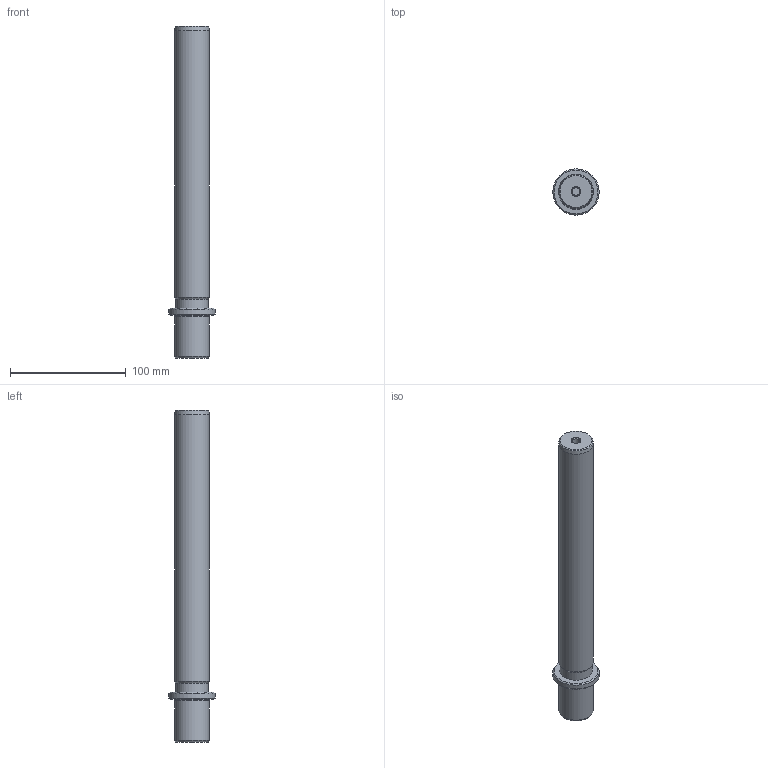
import cadquery as cq

total_length = 287.0
spigot_length = 37.0
collar_thickness = 6.0
relief_top = 51.0

shaft_diameter = 30.0
collar_diameter = 40.0
neck_diameter = 28.0

collar_chamfer = 1.0
neck_chamfer_height = 1.5
spigot_chamfer_height = 1.5
spigot_chamfer_width = 1.0
lead_in_height = 4.0
lead_in_inset = 0.4
end_chamfer = 0.8
undercut_width = 1.5
undercut_depth = 0.5

hole_diameter = 6.8
hole_depth = 20.0
countersink_diameter = 8.6

shaft_radius = shaft_diameter / 2
collar_radius = collar_diameter / 2
neck_radius = neck_diameter / 2
collar_top = spigot_length + collar_thickness
lead_in_radius = shaft_radius - lead_in_inset


def turned_body():
    """Revolve the half outline (radius, height) of the pillar about Z."""
    undercut_radius = shaft_radius - undercut_depth
    undercut_bottom = spigot_length - undercut_width
    outline = [
        (0, 0),
        (shaft_radius - spigot_chamfer_width, 0),
        (shaft_radius, spigot_chamfer_height),
        (shaft_radius, undercut_bottom),
        (undercut_radius, undercut_bottom),
        (undercut_radius, spigot_length),
        (collar_radius - collar_chamfer, spigot_length),
        (collar_radius, spigot_length + collar_chamfer),
        (collar_radius, collar_top - collar_chamfer),
        (collar_radius - collar_chamfer, collar_top),
        (neck_radius, collar_top),
        (neck_radius, relief_top),
        (shaft_radius, relief_top + neck_chamfer_height),
        (shaft_radius, total_length - lead_in_height),
        (lead_in_radius, total_length - end_chamfer),
        (lead_in_radius - end_chamfer, total_length),
        (0, total_length),
    ]
    return cq.Workplane("XZ").polyline(outline).close().revolve(360, (0, 0), (0, 1))


def end_hole():
    """Flat-bottomed hole with a 45 degree countersink, open at the top end."""
    hole_radius = hole_diameter / 2
    countersink_radius = countersink_diameter / 2
    countersink_depth = countersink_radius - hole_radius
    outline = [
        (0, total_length),
        (countersink_radius, total_length),
        (hole_radius, total_length - countersink_depth),
        (hole_radius, total_length - hole_depth),
        (0, total_length - hole_depth),
    ]
    return cq.Workplane("XZ").polyline(outline).close().revolve(360, (0, 0), (0, 1))


result = turned_body().cut(end_hole())